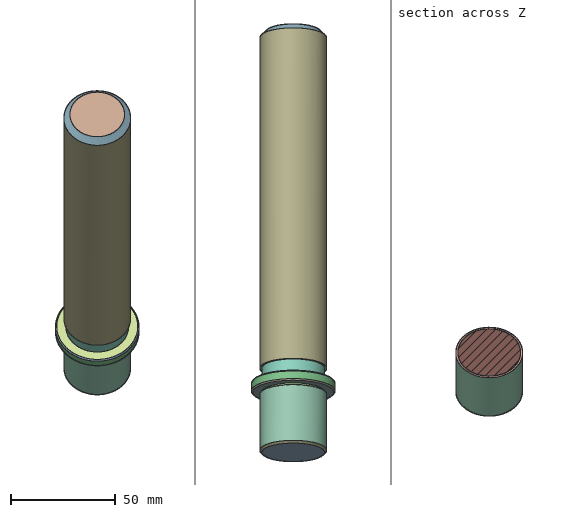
import cadquery as cq

total_length = 210.0
pin_diameter = 32.0
neck_diameter = 30.0
collar_diameter = 40.0
collar_bottom = 30.0
collar_thickness = 5.0
neck_length = 7.0
undercut_width = 1.0
tip_chamfer = 3.0
base_chamfer = 1.0
collar_chamfer = 0.6

collar_top = collar_bottom + collar_thickness
neck_top = collar_top + neck_length
undercut_bottom = collar_bottom - undercut_width


def cylinder(diameter, bottom, top):
    """Cylinder on the Z axis between two heights."""
    return cq.Workplane("XY").workplane(offset=bottom).circle(diameter / 2).extrude(top - bottom)


shank = cylinder(pin_diameter, 0, undercut_bottom).faces("<Z").chamfer(base_chamfer)

core = cylinder(neck_diameter, undercut_bottom, neck_top)

collar = cylinder(collar_diameter, collar_bottom, collar_top).edges().chamfer(collar_chamfer)

pin = cylinder(pin_diameter, neck_top, total_length).faces(">Z").chamfer(tip_chamfer)

result = shank.union(core).union(collar).union(pin)